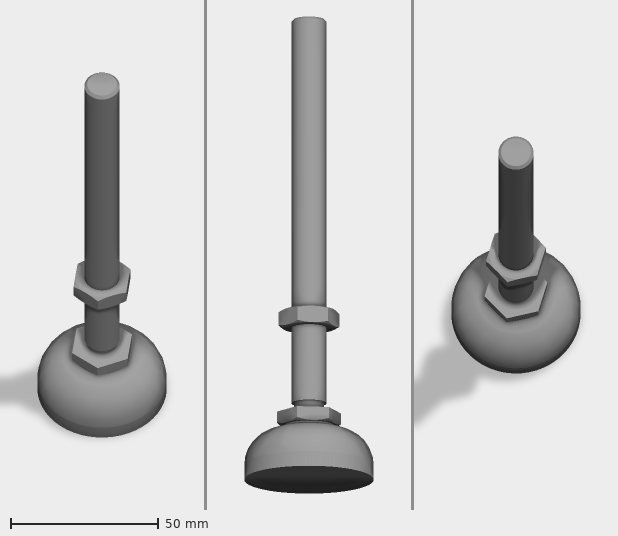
import cadquery as cq
import math

total_height = 160.0
base_diameter = 44.0
base_radius = base_diameter / 2

rim_height = 5.1
dome_radius = 12.2
dome_top_radius = 13.5
collar_radius = 8.6

rod_radius = 6.0
rod_bottom = 26.5
rod_chamfer = 1.0
neck_fillet = 1.0
neck_radius = rod_radius - neck_fillet

hex_flats = 19.0
hex_bottom = 18.7
hex_top = 23.4

nut_flats = 18.0
nut_bottom = 52.8
nut_top = 58.5

half_side_angle = math.radians(30)
hex_bevel_angle = math.radians(30)
nut_bevel_angle = math.radians(25)


def hexagon(flats, bottom, top):
    """Hexagonal prism with two corners on the X axis."""
    corners = flats / math.cos(half_side_angle)
    return cq.Workplane("XY").workplane(offset=bottom).polygon(6, corners).extrude(top - bottom)


def corner_cone(flats, bottom, top, bevel_angle, bevel_top):
    """Revolved envelope that bevels the hex corners at its bottom and, if asked, its top."""
    flat_radius = flats / 2
    corner_radius = flat_radius / math.cos(half_side_angle)
    drop = (corner_radius - flat_radius) * math.tan(bevel_angle)
    profile = (
        cq.Workplane("XZ")
        .moveTo(0, bottom)
        .lineTo(flat_radius, bottom)
        .lineTo(corner_radius, bottom + drop)
    )
    if bevel_top:
        profile = profile.lineTo(corner_radius, top - drop).lineTo(flat_radius, top)
    else:
        profile = profile.lineTo(corner_radius, top)
    return profile.lineTo(0, top).close().revolve(360, (0, 0), (0, 1))


def beveled_hex(flats, bottom, top, bevel_angle, bevel_top):
    return hexagon(flats, bottom, top).intersect(corner_cone(flats, bottom, top, bevel_angle, bevel_top))


def foot():
    """Dome arc starts upright at the rim; the cone leaves the arc tangentially."""
    center_x = base_radius - dome_radius
    end_angle = math.acos((dome_top_radius - center_x) / dome_radius)
    dome_top = rim_height + dome_radius * math.sin(end_angle)
    middle_x = center_x + dome_radius * math.cos(end_angle / 2)
    middle_z = rim_height + dome_radius * math.sin(end_angle / 2)
    cone_top = dome_top + (dome_top_radius - collar_radius) / math.tan(end_angle)
    return (
        cq.Workplane("XZ")
        .lineTo(base_radius, 0)
        .lineTo(base_radius, rim_height)
        .threePointArc((middle_x, middle_z), (dome_top_radius, dome_top))
        .lineTo(collar_radius, cone_top)
        .lineTo(collar_radius, hex_bottom)
        .lineTo(0, hex_bottom)
        .close()
        .revolve(360, (0, 0), (0, 1))
    )


def rod():
    """Shaft with a chamfered tip and a neck that flares back to full size at both ends."""
    fillet_mid = neck_fillet * (1 - math.sqrt(0.5))
    return (
        cq.Workplane("XZ")
        .moveTo(0, hex_bottom)
        .lineTo(rod_radius, hex_bottom)
        .lineTo(rod_radius, hex_top)
        .threePointArc(
            (neck_radius + fillet_mid, hex_top + fillet_mid),
            (neck_radius, hex_top + neck_fillet),
        )
        .lineTo(neck_radius, rod_bottom - neck_fillet)
        .threePointArc(
            (neck_radius + fillet_mid, rod_bottom - fillet_mid),
            (rod_radius, rod_bottom),
        )
        .lineTo(rod_radius, total_height - rod_chamfer)
        .lineTo(rod_radius - rod_chamfer, total_height)
        .lineTo(0, total_height)
        .close()
        .revolve(360, (0, 0), (0, 1))
    )


lower_hex = beveled_hex(hex_flats, hex_bottom, hex_top, hex_bevel_angle, False)
lock_nut = beveled_hex(nut_flats, nut_bottom, nut_top, nut_bevel_angle, True)
result = foot().union(lower_hex).union(rod()).union(lock_nut)